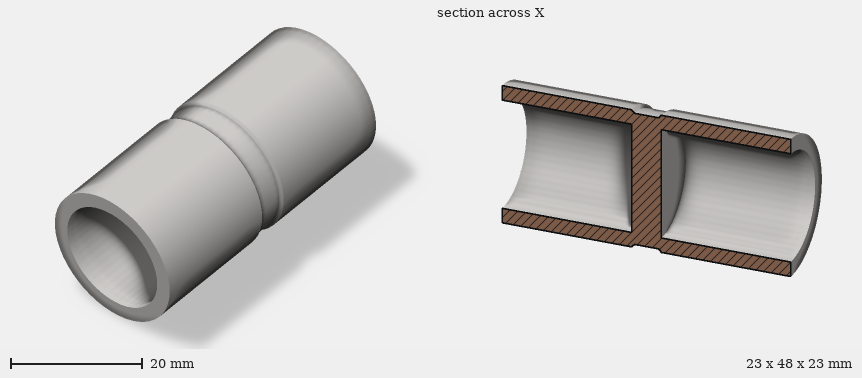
import cadquery as cq

length = 48.0
outer_diameter = 23.0
bore_diameter = 18.0

groove_diameter = 22.0
groove_width = 5.0
groove_depth = (outer_diameter - groove_diameter) / 2
groove_floor_width = groove_width - 2 * groove_depth

web_thickness = groove_width
socket_depth = (length - web_thickness) / 2


def make_body():
    """Solid grooved bar, revolved about the Y axis."""
    outer_radius = outer_diameter / 2
    groove_radius = groove_diameter / 2
    return (
        cq.Workplane("XY")
        .moveTo(0, -length / 2)
        .lineTo(outer_radius, -length / 2)
        .lineTo(outer_radius, -groove_width / 2)
        .lineTo(groove_radius, -groove_floor_width / 2)
        .lineTo(groove_radius, groove_floor_width / 2)
        .lineTo(outer_radius, groove_width / 2)
        .lineTo(outer_radius, length / 2)
        .lineTo(0, length / 2)
        .close()
        .revolve(360, (0, 0, 0), (0, 1, 0))
    )


def cut_socket(body, end_face):
    """Cut a flat-bottomed socket into one end of the body."""
    return body.faces(end_face).workplane().circle(bore_diameter / 2).cutBlind(-socket_depth)


result = make_body()
for end_face in ("<Y", ">Y"):
    result = cut_socket(result, end_face)